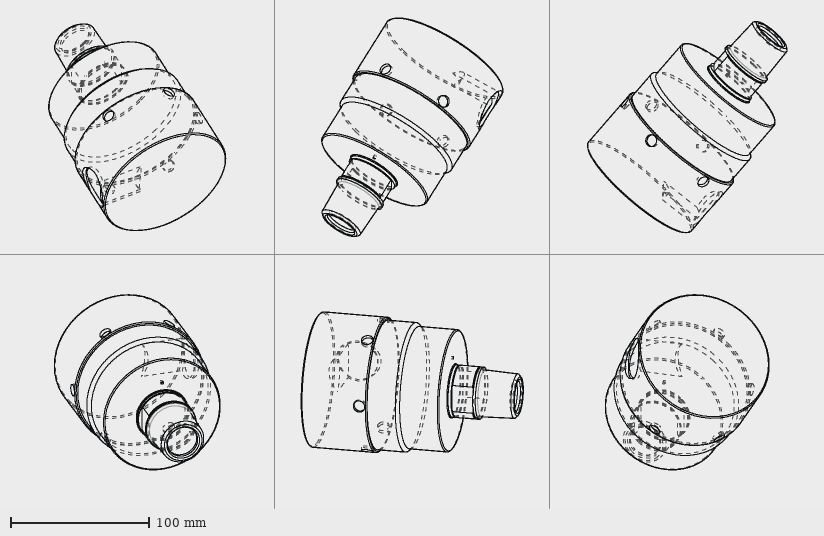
import cadquery as cq
import math

length = 150.0

stub_chamfer = 1.8
stub_end_radius = 14.2
stub_small_radius = 16.2
stub_large_radius = 17.1
stub_end = 26.2
root_radius = 1.4
recess_mouth_radius = 12.5
recess_radius = 23.0 / 2
recess_cone_depth = 1.5
recess_depth = 3.8

collar_radius = 19.0
neck_chamfer = 0.8
collar_start = stub_end + root_radius
neck_start = 29.5
neck_end = 45.8
collar_end = 47.8
flare_start_radius = 38.7 / 2
flare_end_radius = 19.8
flat_distance = 16.2

body_start = 48.6
front_radius = 89.0 / 2
front_end = 77.5
middle_radius = 94.2 / 2
head_radius = 98.4 / 2
head_start = 101.1
edge_chamfer = 0.9

radial_hole_diameter = 8.5
radial_hole_x = 106.6
radial_hole_depth = 2.7
radial_hole_angles = (30, 150, 210, 270, 330)

window_x = 131.2
window_radius = 14.7
window_chamfer = 1.8
window_floor_radius = 46.5
pocket_start = 138.2
shaft_radius = 18.8

pin_diameter = 2.0
pin_offset = 25.4
pin_depth = 2.2


def x_cylinder(radius, start, end):
    """Solid cylinder along X."""
    return cq.Workplane("YZ", origin=(start, 0, 0)).circle(radius).extrude(end - start)


def turned_body():
    """Revolved outline of stub, neck and stepped body."""
    fillet_mid = root_radius * math.sqrt(0.5)
    return (
        cq.Workplane("XY")
        .moveTo(recess_depth, 0)
        .lineTo(recess_depth, recess_radius)
        .lineTo(recess_cone_depth, recess_radius)
        .lineTo(0, recess_mouth_radius)
        .lineTo(0, stub_end_radius)
        .lineTo(stub_chamfer, stub_small_radius)
        .lineTo(stub_end, stub_large_radius)
        .threePointArc(
            (stub_end + fillet_mid, stub_large_radius + root_radius - fillet_mid),
            (collar_start, stub_large_radius + root_radius),
        )
        .lineTo(collar_start, collar_radius)
        .lineTo(neck_start, collar_radius)
        .lineTo(neck_start, collar_radius - neck_chamfer)
        .lineTo(neck_start + neck_chamfer, collar_radius)
        .lineTo(neck_end - neck_chamfer, collar_radius)
        .lineTo(neck_end, collar_radius - neck_chamfer)
        .lineTo(neck_end, collar_radius)
        .lineTo(collar_end, collar_radius)
        .lineTo(collar_end, flare_start_radius)
        .lineTo(body_start, flare_end_radius)
        .lineTo(body_start, front_radius - edge_chamfer)
        .lineTo(body_start + edge_chamfer, front_radius)
        .lineTo(front_end, front_radius)
        .lineTo(front_end + middle_radius - front_radius, middle_radius)
        .lineTo(head_start, middle_radius)
        .lineTo(head_start, head_radius - edge_chamfer)
        .lineTo(head_start + edge_chamfer, head_radius)
        .lineTo(length - edge_chamfer, head_radius)
        .lineTo(length, head_radius - edge_chamfer)
        .lineTo(length, 0)
        .close()
        .revolve(360, (0, 0, 0), (1, 0, 0))
    )


def spanner_flat(side):
    """Material removed for one flat; side is +1 or -1 along Y."""
    width = 2 * collar_radius
    block = cq.Workplane("XY").box(
        neck_end - neck_start, width, width, centered=(False, True, True)
    )
    return block.translate((neck_start, side * (flat_distance + width / 2), 0))


def radial_hole(angle):
    """Blind flat-bottomed hole pointing at the X axis."""
    floor = head_radius - radial_hole_depth
    hole = (
        cq.Workplane("XY", origin=(radial_hole_x, 0, floor))
        .circle(radial_hole_diameter / 2)
        .extrude(head_radius)
    )
    return hole.rotate((0, 0, 0), (1, 0, 0), angle)


def side_window():
    """Chamfered window with a shallow round floor and a deeper pocket toward +X."""
    bore = (
        cq.Workplane("XZ", origin=(window_x, 0, 0))
        .circle(window_radius)
        .extrude(head_radius)
    )
    shallow = bore.cut(x_cylinder(window_floor_radius, 0, length))
    pocket = bore.cut(x_cylinder(head_radius, 0, pocket_start))
    pocket = pocket.cut(x_cylinder(shaft_radius, 0, length))
    rim = cq.Workplane("XY").add(
        cq.Solid.makeCone(
            window_radius + window_chamfer,
            window_radius,
            window_chamfer,
            pnt=cq.Vector(window_x, -head_radius, 0),
            dir=cq.Vector(0, 1, 0),
        )
    )
    return shallow.union(pocket).union(rim)


def pin_hole():
    """Small blind hole in the front face of the body."""
    return (
        cq.Workplane("YZ", origin=(body_start, 0, pin_offset))
        .circle(pin_diameter / 2)
        .extrude(pin_depth)
    )


result = turned_body()
for flat_side in (-1, 1):
    result = result.cut(spanner_flat(flat_side))
for hole_angle in radial_hole_angles:
    result = result.cut(radial_hole(hole_angle))
result = result.cut(side_window()).cut(pin_hole())